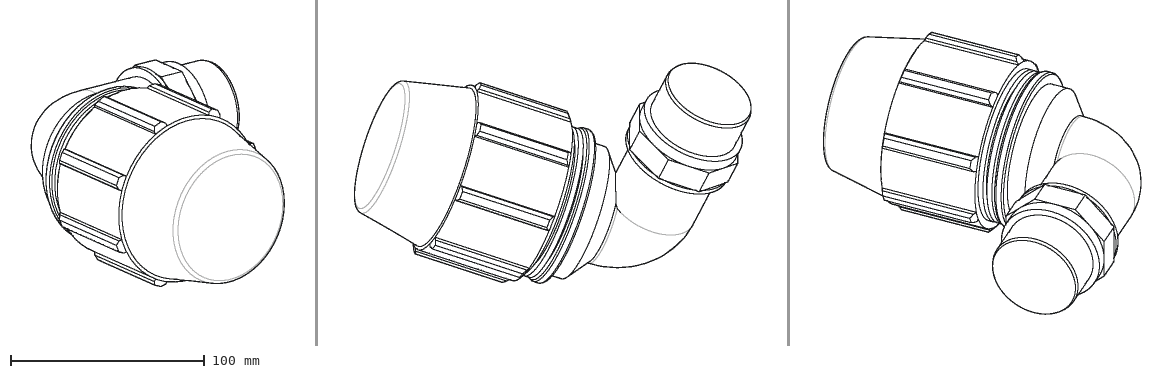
import cadquery as cq
import math

OVERALL_LENGTH = 172.7

PIPE_RADIUS = 47.8 / 2
BEND_RADIUS = 19.3

SPIGOT_END = 96.9
TIP_CHAMFER_LENGTH = 1.7
TIP_CHAMFER_DEPTH = 0.7
FLANGE_RADIUS = 57.3 / 2
FLANGE_START = 52.8
OCTAGON_START = 55.5
COLLAR_START = 68.7
COLLAR_END = 75.0
COLLAR_RADIUS = 54.9 / 2
OCTAGON_SIDES = 8

SHOULDER_START = 20.7
SHOULDER_END = 30.5
BODY_RADIUS = 72.0 / 2
STOP_RING_RADIUS = 83.5 / 2
STOP_RING_START = 40.4
STOP_RING_END = 45.5
STOP_RING_CHAMFER_LENGTH = 1.0
STOP_RING_CHAMFER_DEPTH = 0.7
THREAD_RADIUS = 81.0 / 2
THREAD_STARTS = (47.1, 52.1)
THREAD_WIDTH = 2.8

NUT_START = 54.9
NUT_END = 107.5
NUT_RADIUS = 44.7
NUT_EDGE_LENGTH = 0.5
SLEEVE_START_RADIUS = 43.0
SLEEVE_END_RADIUS = 35.5
SLEEVE_END = OVERALL_LENGTH - FLANGE_RADIUS
SLEEVE_ROUND = 2.0

RIB_COUNT = 8
RIB_TOP_RADIUS = 48.0
RIB_TOP_WIDTH = 4.3
RIB_SHOULDER_RADIUS = 46.1
RIB_BASE_WIDTH = 8.0
RIB_START_SLOPE = 2.6
RIB_END_SLOPE = 1.4
RIB_ROOT_RADIUS = 42.8


def cylinder_x(radius, start, end):
    return cq.Workplane("YZ").workplane(offset=start).circle(radius).extrude(end - start)


def along_y(start):
    """Workplane at Y = start that extrudes toward +Y."""
    return cq.Workplane("XZ", origin=(0, start, 0)).workplane(invert=True)


def cylinder_y(radius, start, end):
    return along_y(start).circle(radius).extrude(end - start)


def make_bend():
    """Quarter turn of the pipe; the section stops at the turning axis, inside the pipe."""
    chord = math.sqrt(PIPE_RADIUS**2 - BEND_RADIUS**2)
    section = (
        cq.Workplane("XZ", origin=(0, BEND_RADIUS, 0))
        .moveTo(BEND_RADIUS, chord)
        .threePointArc((-PIPE_RADIUS, 0), (BEND_RADIUS, -chord))
        .close()
    )
    return section.revolve(90, (BEND_RADIUS, 0, 0), (BEND_RADIUS, 1, 0))


def make_spigot():
    pipe = cylinder_y(PIPE_RADIUS, BEND_RADIUS, SPIGOT_END)
    pipe = pipe.faces(">Y").chamfer(TIP_CHAMFER_LENGTH, TIP_CHAMFER_DEPTH)
    flange = cylinder_y(FLANGE_RADIUS, FLANGE_START, OCTAGON_START)
    octagon_diameter = 2 * COLLAR_RADIUS / math.cos(math.pi / OCTAGON_SIDES)
    octagon = (
        along_y(OCTAGON_START)
        .transformed(rotate=(0, 0, 180 / OCTAGON_SIDES))
        .polygon(OCTAGON_SIDES, octagon_diameter)
        .extrude(COLLAR_START - OCTAGON_START)
    )
    collar = cylinder_y(COLLAR_RADIUS, COLLAR_START, COLLAR_END)
    return pipe.union(flange).union(octagon).union(collar)


def make_body():
    body = (
        cq.Workplane("XY")
        .moveTo(BEND_RADIUS, 0)
        .lineTo(BEND_RADIUS, PIPE_RADIUS)
        .lineTo(SHOULDER_START, PIPE_RADIUS)
        .lineTo(SHOULDER_END, BODY_RADIUS)
        .lineTo(NUT_START, BODY_RADIUS)
        .lineTo(NUT_START, 0)
        .close()
        .revolve(360, (0, 0, 0), (1, 0, 0))
    )
    body = body.union(make_stop_ring())
    for start in THREAD_STARTS:
        body = body.union(cylinder_x(THREAD_RADIUS, start, start + THREAD_WIDTH))
    return body


def make_stop_ring():
    edge_radius = STOP_RING_RADIUS - STOP_RING_CHAMFER_DEPTH
    return (
        cq.Workplane("XY")
        .moveTo(STOP_RING_START, 0)
        .lineTo(STOP_RING_START, edge_radius)
        .lineTo(STOP_RING_START + STOP_RING_CHAMFER_LENGTH, STOP_RING_RADIUS)
        .lineTo(STOP_RING_END - STOP_RING_CHAMFER_LENGTH, STOP_RING_RADIUS)
        .lineTo(STOP_RING_END, edge_radius)
        .lineTo(STOP_RING_END, 0)
        .close()
        .revolve(360, (0, 0, 0), (1, 0, 0))
    )


def make_nut():
    nut = cylinder_x(NUT_RADIUS, NUT_START, NUT_END)
    sleeve = (
        cq.Workplane("XY")
        .moveTo(NUT_END, 0)
        .lineTo(NUT_END, NUT_RADIUS)
        .lineTo(NUT_END + NUT_EDGE_LENGTH, SLEEVE_START_RADIUS)
        .lineTo(SLEEVE_END, SLEEVE_END_RADIUS)
        .lineTo(SLEEVE_END, 0)
        .close()
        .revolve(360, (0, 0, 0), (1, 0, 0))
        .faces(">X")
        .edges()
        .fillet(SLEEVE_ROUND)
    )
    nut = nut.union(sleeve)
    rib = make_rib()
    pitch = 360 / RIB_COUNT
    for index in range(RIB_COUNT):
        nut = nut.union(rib.rotate((0, 0, 0), (1, 0, 0), (index + 0.5) * pitch))
    return nut


def make_rib():
    """Rib at the top of the nut: upright sides under sloping flanks, ends sloping to the nut."""
    flanks = (
        cq.Workplane("YZ", origin=(NUT_START, 0, 0))
        .moveTo(-RIB_BASE_WIDTH / 2, RIB_ROOT_RADIUS)
        .lineTo(RIB_BASE_WIDTH / 2, RIB_ROOT_RADIUS)
        .lineTo(RIB_BASE_WIDTH / 2, RIB_SHOULDER_RADIUS)
        .lineTo(RIB_TOP_WIDTH / 2, RIB_TOP_RADIUS)
        .lineTo(-RIB_TOP_WIDTH / 2, RIB_TOP_RADIUS)
        .lineTo(-RIB_BASE_WIDTH / 2, RIB_SHOULDER_RADIUS)
        .close()
        .extrude(NUT_END - NUT_START)
    )
    side = (
        cq.Workplane("XZ")
        .moveTo(NUT_START, RIB_ROOT_RADIUS)
        .lineTo(NUT_START, NUT_RADIUS)
        .lineTo(NUT_START + RIB_START_SLOPE, RIB_TOP_RADIUS)
        .lineTo(NUT_END - RIB_END_SLOPE, RIB_TOP_RADIUS)
        .lineTo(NUT_END, NUT_RADIUS)
        .lineTo(NUT_END, RIB_ROOT_RADIUS)
        .close()
        .extrude(RIB_BASE_WIDTH / 2, both=True)
    )
    return flanks.intersect(side)


result = make_bend().union(make_spigot()).union(make_body()).union(make_nut())